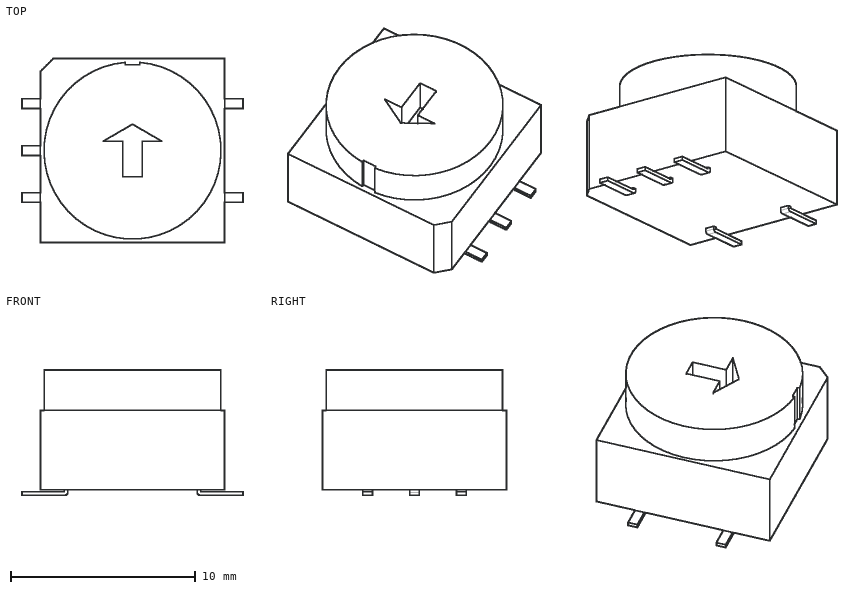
import cadquery as cq

total_length = 12.0
total_height = 6.8

housing_side = 10.0
corner_chamfer = 0.71
standoff = 0.3

dial_height = 2.2
dial_radius = 4.8
notch_width = 0.79
notch_depth = 0.15

arrow_length = 2.85
arrow_head_length = 0.92
arrow_head_width = 3.19
arrow_shaft_width = 1.03

lead_width = 0.54
lead_thickness = 0.2
lead_reach = 2.5
lead_bend_radius = 0.15
lead_pitch = 2.55
lead_embed = 0.12

dial_base = total_height - dial_height
housing_height = dial_base - standoff


def make_housing():
    """Square block with the -X +Y corner cut off."""
    block = cq.Workplane("XY").workplane(offset=standoff)
    block = block.rect(housing_side, housing_side).extrude(housing_height)
    return block.edges("|Z and <X and >Y").chamfer(corner_chamfer)


def make_dial():
    """Round dial with an index notch in its rim and the driver slot cut through it."""
    dial = cq.Workplane("XY").workplane(offset=dial_base).circle(dial_radius).extrude(dial_height)
    notch = (
        cq.Workplane("XY")
        .workplane(offset=dial_base)
        .center(0, dial_radius)
        .rect(notch_width, 2 * notch_depth)
        .extrude(dial_height)
    )
    return dial.cut(notch).cut(make_arrow())


def make_arrow():
    """Arrow-shaped prism as tall as the dial."""
    tip = arrow_length / 2
    barb = tip - arrow_head_length
    half_head = arrow_head_width / 2
    half_shaft = arrow_shaft_width / 2
    outline = [
        (0, tip),
        (half_head, barb),
        (half_shaft, barb),
        (half_shaft, -tip),
        (-half_shaft, -tip),
        (-half_shaft, barb),
        (-half_head, barb),
    ]
    return cq.Workplane("XY").workplane(offset=dial_base).polyline(outline).close().extrude(dial_height)


def make_lead(y):
    """L-shaped lead on the -X side, centred on the given Y and rounded under its bend."""
    free_end = -total_length / 2
    bend_back = free_end + lead_reach
    bend_front = bend_back - lead_thickness
    lead_top = standoff + lead_embed
    outline = [
        (free_end, 0),
        (bend_back, 0),
        (bend_back, lead_top),
        (bend_front, lead_top),
        (bend_front, lead_thickness),
        (free_end, lead_thickness),
    ]
    lead = cq.Workplane("XZ").polyline(outline).close().extrude(lead_width / 2, both=True)
    lead = lead.edges("|Y and >X and <Z").fillet(lead_bend_radius)
    return lead.translate((0, y, 0))


result = make_housing().union(make_dial())

for y in (-lead_pitch, 0, lead_pitch):
    result = result.union(make_lead(y))
for y in (-lead_pitch, lead_pitch):
    result = result.union(make_lead(y).mirror("YZ"))